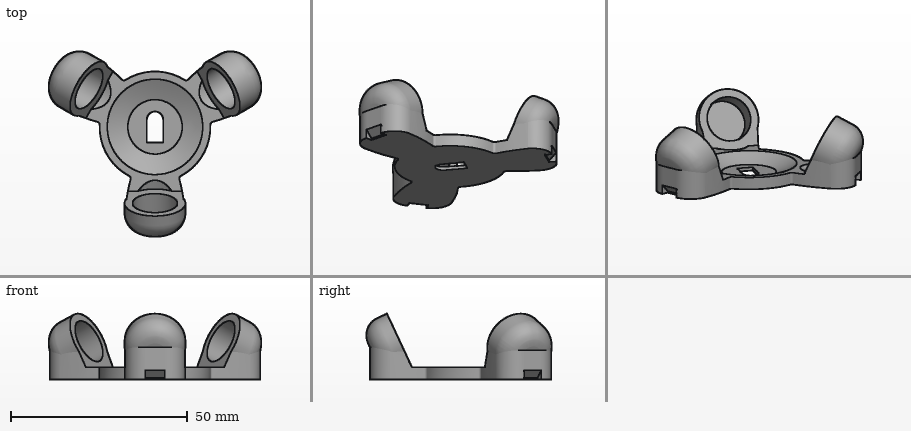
import cadquery as cq
import math

plate_radius = 15.7
plate_height = 3.5
bowl_rim_radius = 13.5
bowl_floor_radius = 7.7
bowl_depth = 2.5
slot_width = 4.55
slot_tip_y = 4.3
slot_base_y = -4.4

arms = ((-90, 3.05), (30, 5.1), (150, 5.1))
root_x = 12.0
root_half_width = 6.1
flank_middle = (18.1, 7.68)
leg_half_width = 8.5
leg_corner_radius = 5.7
leg_overhang = 0.85
neck_fillet = 0.8

tilt = math.radians(25)
cup_radius = 8.65
cup_round = 5.4
cup_top = 18.69
face_foot_x = 18.13
bore_diameter = 12.7
bore_depth = 7.0
clearance_radius = 9.4
clearance_length = 10.0

notch_width = 2 * (leg_half_width - leg_corner_radius)
notch_height = 2.6
notch_depth = 2.1
notch_back_height = 0.5

face_z = cup_top - cup_radius * math.cos(tilt)
face_x = face_foot_x + (face_z - plate_height) * math.tan(tilt)


def turned(shape, angle):
    """An arm feature, modelled along +X, turned to its place about Z."""
    return shape.rotate((0, 0, 0), (0, 0, 1), angle)


def cup_sketch():
    """Workplane on the cup mouth, with its normal along the cup axis, outward and down."""
    normal = (math.cos(tilt), 0, -math.sin(tilt))
    return cq.Workplane(cq.Plane(origin=(face_x, 0, face_z), xDir=(0, 1, 0), normal=normal))


def cup_back_x(wall):
    """Distance of the centre of a cup's flat back."""
    return face_x + (wall + cup_round) * math.cos(tilt)


def leg_end_x(wall):
    """Distance of the flat end of a leg, just past the centre of the cup's back."""
    return cup_back_x(wall) + leg_overhang


def arm_prism(wall, height):
    """Upright prism on the arm's footprint: a flared neck and an end with rounded corners."""
    end_x = leg_end_x(wall)
    corner_x = end_x - leg_corner_radius
    flat_half = leg_half_width - leg_corner_radius
    middle_x, middle_y = flank_middle
    return (
        cq.Workplane("XY")
        .moveTo(0, -root_half_width)
        .lineTo(root_x, -root_half_width)
        .threePointArc((middle_x, -middle_y), (corner_x, -leg_half_width))
        .radiusArc((end_x, -flat_half), -leg_corner_radius)
        .lineTo(end_x, flat_half)
        .radiusArc((corner_x, leg_half_width), -leg_corner_radius)
        .threePointArc((middle_x, middle_y), (root_x, root_half_width))
        .lineTo(0, root_half_width)
        .close()
        .extrude(height)
    )


def leg(wall):
    """Part of the arm under the cup, from the tilted face to where its end meets the cup's back."""
    end_x = leg_end_x(wall)
    back_z = face_z - (wall + cup_round) * math.sin(tilt)
    end_z = back_z + leg_overhang / math.tan(tilt)
    side = (
        cq.Workplane("XZ")
        .moveTo(face_foot_x, 0)
        .lineTo(face_foot_x, plate_height)
        .lineTo(face_x, face_z)
        .lineTo(end_x, end_z)
        .lineTo(end_x, 0)
        .close()
        .extrude(2 * leg_half_width, both=True)
    )
    return arm_prism(wall, face_z).intersect(side)


def cup(wall):
    """Solid cup, tilted upward, with a rounded back."""
    blank = cup_sketch().circle(cup_radius).extrude(wall + cup_round)
    return blank.faces(">X").edges().fillet(cup_round)


def arm_cuts(wall):
    """Bore of the cup, clearance in front of its mouth and notch under the leg."""
    bore = cup_sketch().circle(bore_diameter / 2).extrude(bore_depth)
    clearance = cup_sketch().circle(clearance_radius).extrude(-clearance_length)
    end_x = leg_end_x(wall)
    back_x = end_x - notch_depth
    notch = (
        cq.Workplane("XZ")
        .moveTo(end_x, 0)
        .lineTo(end_x, notch_height)
        .lineTo(back_x, notch_back_height)
        .lineTo(back_x, 0)
        .close()
        .extrude(notch_width / 2, both=True)
    )
    return bore.union(clearance).union(notch)


def base():
    """Round plate joined to the foot of every arm, with filleted necks."""
    body = cq.Workplane("XY").circle(plate_radius).extrude(plate_height)
    for angle, wall in arms:
        body = body.union(turned(arm_prism(wall, plate_height), angle))
    join_angle = math.degrees(math.asin(root_half_width / plate_radius))
    for angle, _ in arms:
        for side in (-1, 1):
            direction = math.radians(angle + side * join_angle)
            corner = (plate_radius * math.cos(direction), plate_radius * math.sin(direction), plate_height / 2)
            body = body.edges("|Z").edges(cq.selectors.NearestToPointSelector(corner)).fillet(neck_fillet)
    return body


def bowl():
    """Spherical dish with a flat floor, sunk into the plate."""
    sphere_rise = (bowl_rim_radius**2 - bowl_floor_radius**2 - bowl_depth**2) / (2 * bowl_depth)
    sphere_radius = math.hypot(bowl_rim_radius, sphere_rise)
    sphere = cq.Workplane("XY").sphere(sphere_radius).translate((0, 0, plate_height + sphere_rise))
    floor_z = plate_height - bowl_depth
    layer = cq.Workplane("XY").workplane(offset=floor_z).circle(plate_radius).extrude(bowl_depth)
    return sphere.intersect(layer)


def slot():
    """Through slot with a square base and a round tip."""
    half = slot_width / 2
    shoulder_y = slot_tip_y - half
    return (
        cq.Workplane("XY")
        .moveTo(-half, slot_base_y)
        .lineTo(half, slot_base_y)
        .lineTo(half, shoulder_y)
        .threePointArc((0, slot_tip_y), (-half, shoulder_y))
        .close()
        .extrude(plate_height)
    )


result = base()
for angle, wall in arms:
    result = result.union(turned(leg(wall).union(cup(wall)), angle))
for angle, wall in arms:
    result = result.cut(turned(arm_cuts(wall), angle))
result = result.cut(bowl()).cut(slot())